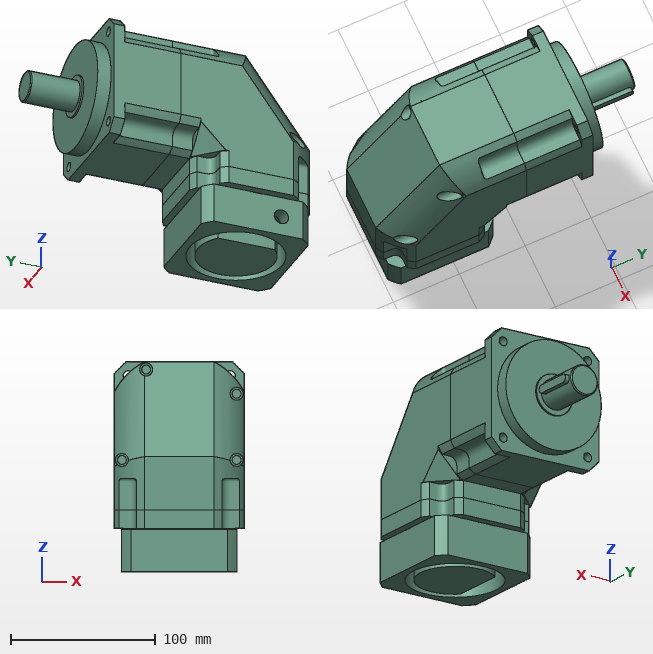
import cadquery as cq
import math


LENGTH = 203.0
HEIGHT = 145.0

WIDTH = 90.0
HALF_WIDTH = WIDTH / 2
CORNER_RADIUS = 51.0
FLAT_HALF_WIDTH = math.sqrt(CORNER_RADIUS**2 - HALF_WIDTH**2)

SHAFT_END_Y = LENGTH - HALF_WIDTH
COLLAR_FACE_Y = 121.4
PILOT_FACE_Y = 120.2
FLANGE_FACE_Y = 110.2
FLANGE_BACK_Y = 102.0
FRONT_SPLIT_Y = 59.9

RING_TOP_Z = -57.5
RING_BOTTOM_Z = -70.0
ADAPTER_TOP_Z = -70.6
ADAPTER_BOTTOM_Z = HALF_WIDTH - HEIGHT

SLOPE_TOP_Y = 3.5
SLOPE_LOW_Z = -20.5
INNER_CHAMFER = 18.5

FLANGE_CHAMFER = 8.3
PILOT_RADIUS = 40.0
BOLT_OFFSET = 35.3
BOLT_HOLE_RADIUS = 3.2

SLOT_RADIUS = 5.9
SLOT_WALL = BOLT_OFFSET - SLOT_RADIUS
SLOT_END_FILLET = 2.5
UPPER_SLOT_END_Y = 29.6
REAR_SLOT_END_Z = -35.5

SCREW_CIRCLE_RADIUS = 45.7
SCREW_ANGLES = (30, 120, 210, 330)
SCREW_HEAD_RADIUS = 4.5
SCREW_HEAD_FLOOR_Y = 12.2
SCREW_HOLE_RADIUS = 3.0
SCREW_HOLE_DEPTH = 8.1

SHAFT_RADIUS = 11.2
SHAFT_CHAMFER = 0.8
COLLAR_RADIUS = 15.0
KEY_WIDTH = 6.0
KEY_TOP_X = 14.2
KEY_BOTTOM_X = 8.1
KEY_START_Y = 123.2
KEY_END_Y = 155.3

ADAPTER_HALF_WIDTH = 40.0
ADAPTER_CORNER_RADIUS = 52.0
SPIGOT_RADIUS = 38.5
ADAPTER_BORE_RADIUS = 34.5
ACCESS_HOLE_RADIUS = 5.3
ACCESS_HOLE_Y = -17.3
ACCESS_HOLE_Z = -85.7

HUB_RADIUS = 28.5
HUB_FLAT_END_Y = -21.3
HUB_FLAT_X = -math.sqrt(HUB_RADIUS**2 - HUB_FLAT_END_Y**2)
HUB_TOP_Z = -75.1
CLAMP_HOLE_RADIUS = 3.2
CLAMP_HOLE_Y = -16.6
CLAMP_HOLE_Z = -86.0
CLAMP_HOLE_DEPTH = 8.1

CORNER_SIDES = (-1, 1)


def plane_along_y(y):
    """Plane at y facing +Y, with +Z as its local y."""
    return cq.Plane(origin=(0, y, 0), xDir=(-1, 0, 0), normal=(0, 1, 0))


def plane_along_z(z):
    """Plane at z facing +Z, with +Y as its local y."""
    return cq.Plane(origin=(0, 0, z), xDir=(1, 0, 0), normal=(0, 0, 1))


def plane_along_x(x):
    """Plane at x facing +X, with +Y as its local x and +Z as its local y."""
    return cq.Plane(origin=(x, 0, 0), xDir=(0, 1, 0), normal=(1, 0, 0))


def rounded_square(plane, half_width, corner_radius, length):
    """Prism on the plane whose section is a square trimmed by a circle."""
    square = cq.Workplane(plane).rect(2 * half_width, 2 * half_width).extrude(length)
    return square.intersect(cq.Workplane(plane).circle(corner_radius).extrude(length))


def corner_slot(plane, x_side, y_side, length, blind):
    """Cutter for one bolt-head slot along a housing corner; a blind slot has a rounded end."""
    size = HALF_WIDTH
    center = SLOT_WALL + size / 2
    slot = cq.Workplane(plane).center(x_side * center, y_side * center).rect(size, size).extrude(length)
    inner_edge = plane.toWorldCoords((x_side * SLOT_WALL, y_side * SLOT_WALL, length / 2))
    slot = slot.edges(cq.selectors.NearestToPointSelector(inner_edge.toTuple())).fillet(SLOT_RADIUS)
    if blind:
        slot = slot.faces(cq.selectors.DirectionMinMaxSelector(plane.zDir)).edges().fillet(SLOT_END_FILLET)
    return slot


def cut_corner_slots(body):
    """Cut the slots of both housing legs out of a body."""
    output_plane = cq.Plane(origin=(0, FLANGE_BACK_Y, 0), xDir=(1, 0, 0), normal=(0, -1, 0))
    input_plane = plane_along_z(RING_BOTTOM_Z)
    for x_side in CORNER_SIDES:
        body = body.cut(corner_slot(output_plane, x_side, 1, FLANGE_BACK_Y - UPPER_SLOT_END_Y, True))
        body = body.cut(corner_slot(output_plane, x_side, -1, FLANGE_BACK_Y - HALF_WIDTH, False))
        body = body.cut(corner_slot(input_plane, x_side, -1, REAR_SLOT_END_Z - RING_BOTTOM_Z, True))
        body = body.cut(corner_slot(input_plane, x_side, 1, -HALF_WIDTH - RING_BOTTOM_Z, False))
    return body


def make_front_housing():
    """Output housing with the mounting flange and the centring pilot."""
    length = FLANGE_BACK_Y - FRONT_SPLIT_Y
    housing = rounded_square(plane_along_y(FRONT_SPLIT_Y), HALF_WIDTH, CORNER_RADIUS, length)
    housing = cut_corner_slots(housing)
    flange = (
        cq.Workplane(plane_along_y(FLANGE_BACK_Y))
        .rect(WIDTH, WIDTH)
        .extrude(FLANGE_FACE_Y - FLANGE_BACK_Y)
        .edges("|Y")
        .chamfer(FLANGE_CHAMFER)
        .faces(">Y")
        .workplane()
        .rect(2 * BOLT_OFFSET, 2 * BOLT_OFFSET, forConstruction=True)
        .vertices()
        .hole(2 * BOLT_HOLE_RADIUS)
    )
    pilot_height = PILOT_FACE_Y - FLANGE_FACE_Y
    pilot = cq.Workplane(plane_along_y(FLANGE_FACE_Y)).circle(PILOT_RADIUS).extrude(pilot_height)
    return housing.union(flange).union(pilot)


def crowned_prism(face_y, face_z, outward_y, outward_z):
    """Long prism across YZ; its outer face passes through (face_y, face_z) and has rounded corners."""
    outward = cq.Vector(0, outward_y, outward_z).normalized()
    along = cq.Vector(1, 0, 0).cross(outward)
    middle = cq.Vector(0, face_y, face_z) - outward * HALF_WIDTH
    reach = 5 * HALF_WIDTH
    mid_corner = CORNER_RADIUS / math.sqrt(2)
    return (
        cq.Workplane(cq.Plane(origin=middle - along * reach, xDir=(1, 0, 0), normal=along))
        .moveTo(-HALF_WIDTH, -reach)
        .lineTo(HALF_WIDTH, -reach)
        .lineTo(HALF_WIDTH, FLAT_HALF_WIDTH)
        .threePointArc((mid_corner, mid_corner), (FLAT_HALF_WIDTH, HALF_WIDTH))
        .lineTo(-FLAT_HALF_WIDTH, HALF_WIDTH)
        .threePointArc((-mid_corner, mid_corner), (-HALF_WIDTH, FLAT_HALF_WIDTH))
        .close()
        .extrude(2 * reach)
    )


def elbow_block():
    """Both legs of the elbow, with rounded corners along its top, slope and rear face."""
    block = (
        cq.Workplane(plane_along_x(-HALF_WIDTH))
        .polyline(
            [
                (FRONT_SPLIT_Y, -HALF_WIDTH),
                (FRONT_SPLIT_Y, HALF_WIDTH),
                (SLOPE_TOP_Y, HALF_WIDTH),
                (-HALF_WIDTH, SLOPE_LOW_Z),
                (-HALF_WIDTH, RING_TOP_Z),
                (HALF_WIDTH, RING_TOP_Z),
                (HALF_WIDTH, -HALF_WIDTH),
            ]
        )
        .close()
        .extrude(WIDTH)
    )
    slope_rise = HALF_WIDTH - SLOPE_LOW_Z
    slope_run = HALF_WIDTH + SLOPE_TOP_Y
    block = block.intersect(crowned_prism(0, HALF_WIDTH, 0, 1))
    block = block.intersect(crowned_prism(SLOPE_TOP_Y, HALF_WIDTH, -slope_rise, slope_run))
    return block.intersect(crowned_prism(-HALF_WIDTH, 0, -1, 0))


def leg_corner_trim(plane, y_side, length):
    """Cutter that rounds the two corners of a leg on one side of its axis."""
    half = (
        cq.Workplane(plane)
        .center(0, y_side * HALF_WIDTH)
        .rect(2 * WIDTH, WIDTH)
        .extrude(length)
    )
    return half.cut(cq.Workplane(plane).circle(CORNER_RADIUS).extrude(length))


def inner_corner_chamfer(x_side):
    """Cutter beyond the oblique plane that takes off one elbow corner under the output leg."""
    normal = (x_side, 1, -1)
    edge_point = (x_side * HALF_WIDTH, HALF_WIDTH - INNER_CHAMFER, -HALF_WIDTH)
    size = 2 * WIDTH
    beyond = cq.Workplane(cq.Plane(origin=edge_point, normal=normal)).rect(size, size).extrude(size)
    section = cq.Workplane(plane_along_x(0)).rect(WIDTH, WIDTH)
    corner_box = section.extrude(x_side * HALF_WIDTH)
    return beyond.intersect(corner_box)


def make_elbow():
    """Elbow housing from the front housing round to the input ring."""
    elbow = elbow_block()
    elbow = elbow.cut(leg_corner_trim(plane_along_y(HALF_WIDTH), -1, FRONT_SPLIT_Y - HALF_WIDTH))
    elbow = elbow.cut(leg_corner_trim(plane_along_z(RING_TOP_Z), 1, -HALF_WIDTH - RING_TOP_Z))
    for x_side in CORNER_SIDES:
        elbow = elbow.cut(inner_corner_chamfer(x_side))
    elbow = cut_corner_slots(elbow)
    for angle in SCREW_ANGLES:
        x = SCREW_CIRCLE_RADIUS * math.cos(math.radians(angle))
        z = SCREW_CIRCLE_RADIUS * math.sin(math.radians(angle))
        head = (
            cq.Workplane("XZ", origin=(x, SCREW_HEAD_FLOOR_Y, z))
            .circle(SCREW_HEAD_RADIUS)
            .extrude(SCREW_HEAD_FLOOR_Y + HALF_WIDTH)
        )
        hole = (
            cq.Workplane("XZ", origin=(x, SCREW_HEAD_FLOOR_Y, z))
            .circle(SCREW_HOLE_RADIUS)
            .extrude(-SCREW_HOLE_DEPTH)
        )
        elbow = elbow.cut(head).cut(hole)
    return elbow


def make_input_ring():
    """Ring that closes the input leg."""
    height = RING_TOP_Z - RING_BOTTOM_Z
    ring = rounded_square(plane_along_z(RING_BOTTOM_Z), HALF_WIDTH, CORNER_RADIUS, height)
    return cut_corner_slots(ring)


def make_output_shaft(key):
    """Output shaft with its collar and a keyway that fits the key."""
    collar = (
        cq.Workplane(plane_along_y(PILOT_FACE_Y)).circle(COLLAR_RADIUS).extrude(COLLAR_FACE_Y - PILOT_FACE_Y)
    )
    journal = (
        cq.Workplane(plane_along_y(COLLAR_FACE_Y))
        .circle(SHAFT_RADIUS)
        .extrude(SHAFT_END_Y - COLLAR_FACE_Y)
        .faces(">Y")
        .chamfer(SHAFT_CHAMFER)
    )
    return collar.union(journal).cut(key)


def make_key():
    """Parallel key with round ends, on the +X side of the output shaft."""
    return (
        cq.Workplane(plane_along_x(KEY_BOTTOM_X))
        .center((KEY_START_Y + KEY_END_Y) / 2, 0)
        .slot2D(KEY_END_Y - KEY_START_Y, KEY_WIDTH)
        .extrude(KEY_TOP_X - KEY_BOTTOM_X)
    )


def hub_clearance():
    """Cutter for the annular space round the clamping hub, with a flat on the hub's -X side."""
    height = HUB_TOP_Z - ADAPTER_BOTTOM_Z
    bottom = plane_along_z(ADAPTER_BOTTOM_Z)
    beyond_flat = (
        cq.Workplane(bottom)
        .center(HUB_FLAT_X - HUB_RADIUS, 0)
        .rect(2 * HUB_RADIUS, 2 * HUB_RADIUS)
        .extrude(height)
    )
    hub = cq.Workplane(bottom).circle(HUB_RADIUS).extrude(height).cut(beyond_flat)
    return cq.Workplane(bottom).circle(ADAPTER_BORE_RADIUS).extrude(height).cut(hub)


def hole_along_x(x, y, z, radius, depth):
    """Cutter for a round hole running from x towards +X."""
    return cq.Workplane(plane_along_x(x)).center(y, z).circle(radius).extrude(depth)


def make_motor_adapter():
    """Square motor adapter with its spigot, its clamping hub and the access hole to the clamp."""
    adapter = rounded_square(
        plane_along_z(ADAPTER_BOTTOM_Z),
        ADAPTER_HALF_WIDTH,
        ADAPTER_CORNER_RADIUS,
        ADAPTER_TOP_Z - ADAPTER_BOTTOM_Z,
    )
    spigot = (
        cq.Workplane(plane_along_z(ADAPTER_TOP_Z))
        .circle(SPIGOT_RADIUS)
        .extrude(RING_BOTTOM_Z - ADAPTER_TOP_Z)
    )
    access_hole = hole_along_x(
        -ADAPTER_HALF_WIDTH,
        ACCESS_HOLE_Y,
        ACCESS_HOLE_Z,
        ACCESS_HOLE_RADIUS,
        ADAPTER_HALF_WIDTH + HUB_FLAT_X,
    )
    clamp_hole = hole_along_x(HUB_FLAT_X, CLAMP_HOLE_Y, CLAMP_HOLE_Z, CLAMP_HOLE_RADIUS, CLAMP_HOLE_DEPTH)
    return adapter.union(spigot).cut(hub_clearance()).cut(access_hole).cut(clamp_hole)


front_housing = make_front_housing()
elbow = make_elbow()
input_ring = make_input_ring()
key = make_key()
output_shaft = make_output_shaft(key)
motor_adapter = make_motor_adapter()

result = cq.Compound.makeCompound(
    [
        front_housing.val(),
        elbow.val(),
        input_ring.val(),
        output_shaft.val(),
        key.val(),
        motor_adapter.val(),
    ]
)